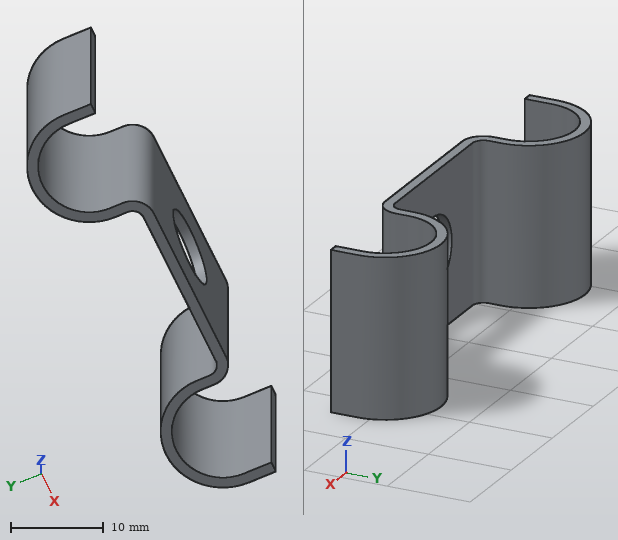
import cadquery as cq
import math

length = 48.45
depth = 10.75
width = 19.05
thickness = 1.2

saddle_outer_radius = 6.75
saddle_inner_radius = saddle_outer_radius - thickness
bend_inner_radius = 1.3
bend_outer_radius = bend_inner_radius + thickness
leg_end_gap = 0.78
hole_diameter = 8.75

saddle_x = length / 2 - saddle_outer_radius
saddle_y = depth - saddle_outer_radius
bend_x = saddle_x - saddle_inner_radius - bend_outer_radius
bend_y = bend_outer_radius


def arc_middle(center_x, center_y, radius, angle):
    """Point on a circle at the given angle in degrees."""
    turn = math.radians(angle)
    return (center_x + radius * math.cos(turn), center_y + radius * math.sin(turn))


def half_strip():
    """Right half of the bent strip, from the middle of the web to the free leg."""
    profile = (
        cq.Workplane("XY")
        .moveTo(0, 0)
        .lineTo(bend_x, 0)
        .threePointArc(
            arc_middle(bend_x, bend_y, bend_outer_radius, -45),
            (bend_x + bend_outer_radius, bend_y),
        )
        .lineTo(saddle_x - saddle_inner_radius, saddle_y)
        .threePointArc(
            arc_middle(saddle_x, saddle_y, saddle_inner_radius, 90),
            (saddle_x + saddle_inner_radius, saddle_y),
        )
        .lineTo(saddle_x + saddle_inner_radius, leg_end_gap)
        .lineTo(saddle_x + saddle_outer_radius, leg_end_gap)
        .lineTo(saddle_x + saddle_outer_radius, saddle_y)
        .threePointArc(
            arc_middle(saddle_x, saddle_y, saddle_outer_radius, 90),
            (saddle_x - saddle_outer_radius, saddle_y),
        )
        .lineTo(bend_x + bend_inner_radius, bend_y)
        .threePointArc(
            arc_middle(bend_x, bend_y, bend_inner_radius, -45),
            (bend_x, thickness),
        )
        .lineTo(0, thickness)
        .close()
    )
    return profile.extrude(width / 2, both=True)


def web_hole():
    """Cutter for the round hole through the middle of the web."""
    return cq.Workplane("XZ").circle(hole_diameter / 2).extrude(thickness, both=True)


right_half = half_strip()
strip = right_half.union(right_half.mirror("YZ")).clean()
result = strip.cut(web_hole())